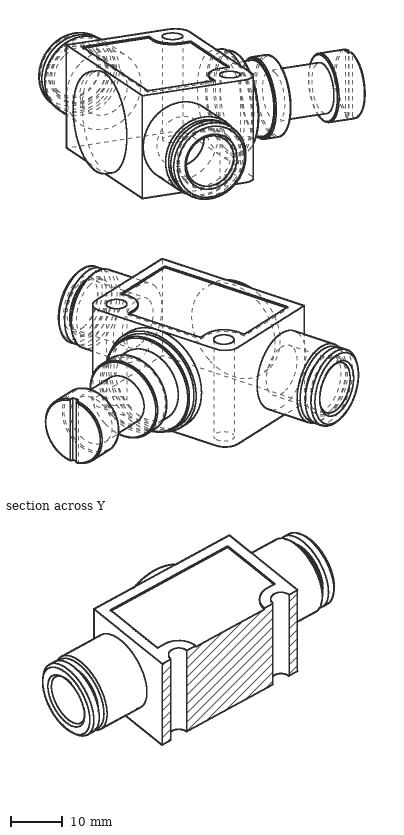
import cadquery as cq


overall_length = 61.2
block_length = 33.9
block_depth = 24.9
block_height = 21.0
corner_radius = 3.0
port_axis_to_front = 8.15

block_front = -port_axis_to_front
block_back = block_front + block_depth
block_end = block_length / 2

hole_diameter = 4.0
hole_inset = 4.15
hole_x = block_end - hole_inset
hole_y = block_back - hole_inset

recess_margin = 2.25
recess_depth = 0.3
boss_radius = 4.15

cap_diameter = 19.95
cap_length = 2.25
cap_round = 1.0
seat_diameter = block_height
seat_length = 1.8

port_length = overall_length / 2 - block_end
ring_diameter = 15.5
ring_width = 1.9
ring_chamfer = 0.55
neck_diameter = 11.6
neck_chamfer = 0.25
sleeve_diameter = 16.0
sleeve_start = 3.25
sleeve_chamfer = 0.4
bore_diameter = 10.15
bore_chamfer = 0.5
fitting_gap = 0.4

flange_end = 3.5
barrel_end = 7.85
collar_end = 11.3
shank_end = 21.9
knob_end = 27.85
flange_diameter = 19.95
barrel_diameter = 14.95
collar_diameter = 16.1
shank_diameter = 10.0
knob_diameter = 13.5
screw_chamfer = 0.25
slot_width = 1.4
slot_depth = 0.8


def cylinder_along_y(diameter, start, end):
    """Solid cylinder on the Y axis between two Y positions."""
    plane = cq.Plane(origin=(0, start, 0), xDir=(1, 0, 0), normal=(0, 1, 0))
    return cq.Workplane(plane).circle(diameter / 2).extrude(end - start)


def make_port(length):
    """Bored port on the X axis; its mouth is at x = 0 and it runs towards +X."""
    ring_radius = ring_diameter / 2
    neck_radius = neck_diameter / 2
    sleeve_radius = sleeve_diameter / 2
    bore_radius = bore_diameter / 2
    profile = (
        cq.Workplane("XY")
        .moveTo(0, bore_radius + bore_chamfer)
        .lineTo(0, ring_radius - ring_chamfer)
        .lineTo(ring_chamfer, ring_radius)
        .lineTo(ring_width, ring_radius)
        .lineTo(ring_width, neck_radius + neck_chamfer)
        .lineTo(ring_width + neck_chamfer, neck_radius)
        .lineTo(sleeve_start, neck_radius)
        .lineTo(sleeve_start, sleeve_radius - sleeve_chamfer)
        .lineTo(sleeve_start + sleeve_chamfer, sleeve_radius)
        .lineTo(length, sleeve_radius)
        .lineTo(length, bore_radius)
        .lineTo(bore_chamfer, bore_radius)
        .close()
    )
    return profile.revolve(360, (0, 0, 0), (1, 0, 0))


def make_label_recess():
    """Cutter for the shallow recess in the top face."""
    side = block_end - recess_margin
    front = block_front + recess_margin
    back = block_back - recess_margin
    boss_side = hole_x - boss_radius
    boss_front = hole_y - boss_radius
    outline = (
        cq.Workplane("XY", origin=(0, 0, block_height / 2 - recess_depth))
        .moveTo(-side, front)
        .lineTo(side, front)
        .lineTo(side, boss_front)
        .lineTo(hole_x, boss_front)
        .radiusArc((boss_side, hole_y), boss_radius)
        .lineTo(boss_side, back)
        .lineTo(-boss_side, back)
        .lineTo(-boss_side, hole_y)
        .radiusArc((-hole_x, boss_front), boss_radius)
        .lineTo(-side, boss_front)
        .close()
    )
    return outline.extrude(recess_depth)


def make_housing():
    """Block with its cap, screw seat, mounting holes, recess and fixed port."""
    block = (
        cq.Workplane("XY")
        .box(block_length, block_depth, block_height)
        .translate((0, block_front + block_depth / 2, 0))
        .edges("|Z and >Y")
        .fillet(corner_radius)
    )
    holes = (
        cq.Workplane("XY", origin=(0, 0, -block_height / 2))
        .pushPoints([(-hole_x, hole_y), (hole_x, hole_y)])
        .circle(hole_diameter / 2)
        .extrude(block_height)
    )
    cap = cylinder_along_y(cap_diameter, block_front - cap_length, block_front)
    cap = cap.faces("<Y").edges().fillet(cap_round)
    seat = cylinder_along_y(seat_diameter, block_back, block_back + seat_length)
    port = make_port(port_length).mirror("YZ").translate((overall_length / 2, 0, 0))
    return block.cut(holes).cut(make_label_recess()).union(cap).union(seat).union(port)


def make_fitting():
    """Separate port on the -X side, standing just clear of the block."""
    return make_port(port_length - fitting_gap).translate((-overall_length / 2, 0, 0))


def make_screw():
    """Stepped adjusting screw standing on the seat, with a slotted knob."""
    flange = cylinder_along_y(flange_diameter, block_back + seat_length, block_back + flange_end)
    flange = flange.faces(">Y").edges().chamfer(screw_chamfer)
    barrel = cylinder_along_y(barrel_diameter, block_back + flange_end, block_back + barrel_end)
    collar = cylinder_along_y(collar_diameter, block_back + barrel_end, block_back + collar_end)
    collar = collar.edges().chamfer(screw_chamfer)
    shank = cylinder_along_y(shank_diameter, block_back + collar_end, block_back + shank_end)
    knob = cylinder_along_y(knob_diameter, block_back + shank_end, block_back + knob_end)
    knob = knob.edges().chamfer(screw_chamfer)
    slot = (
        cq.Workplane("XY")
        .box(slot_width, slot_depth, knob_diameter)
        .translate((0, block_back + knob_end - slot_depth / 2, 0))
    )
    return flange.union(barrel).union(collar).union(shank).union(knob.cut(slot))


housing = make_housing()
fitting = make_fitting()
screw = make_screw()

result = cq.Compound.makeCompound([housing.val(), fitting.val(), screw.val()])